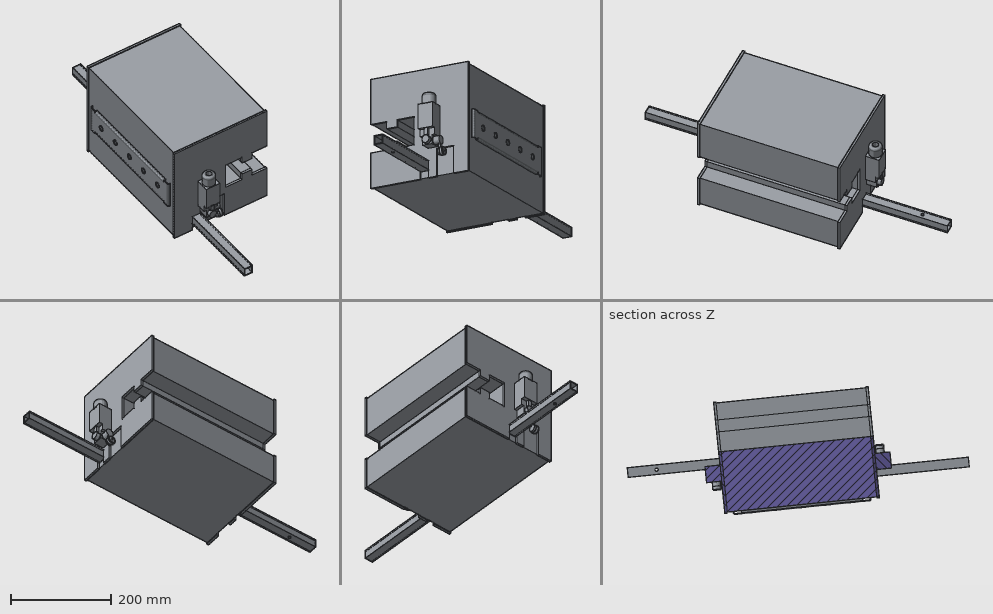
import cadquery as cq
import math

OVERALL_LENGTH = 682.0
TILT = 5.8
AXIS_SHIFT_Y = -34.0

HOUSING_LENGTH = 300.0
HOUSING_CENTER_Y = 35.0
PLATE_THICKNESS = 5.0
PLATE_DEPTH = 223.0
PLATE_HEIGHT = 230.0
PLATE_OVERHANG = 2.0

SLOT_CENTER_Z = -10.0
SLOT_WIDE = 60.0
SLOT_NARROW = 30.0
SLOT_MOUTH_DEPTH = 36.0
SLOT_LIP = 24.0
SLOT_INNER_DEPTH = 39.5

BAR_SIDE = 20.0
BAR_WALL = 2.0
BAR_OFFSET_Y = 24.0
BAR_TOP_Z = -78.5
BAR_HOLE_DIAMETER = 6.0
BAR_HOLE_FROM_END = 58.0

NOTCH_WIDTH = 39.0
NOTCH_TOP_Z = -56.5

RAIL_LENGTH = 276.0
RAIL_HEIGHT = 60.0
RAIL_CENTER_Z = SLOT_CENTER_Z
RAIL_DEPTH = 6.0
RAIL_SHEET = 2.0
RAIL_BEND = 4.0
RAIL_RELIEF = 16.5
RAIL_HOLE_COUNT = 5
RAIL_HOLE_PITCH = 50.0
RAIL_HOLE_DIAMETER = 12.0

SWITCH_OFFSET_Y = 4.0
SWITCH_WIDTH = 33.0
SWITCH_THICKNESS = 30.0
SWITCH_TOP_Z = 32.0
SWITCH_HEIGHT = 66.0
SWITCH_DROP = 20.5
RECESS_HEIGHT = 14.0
RECESS_DEPTH = 8.0
RIB_WIDTH = 8.0
RIB_SETBACK = 2.0
GLAND_DIAMETER = 27.0
GLAND_HEIGHT = 24.0
GLAND_ROUND = 5.5
GLAND_BORE = 12.0
HEAD_WIDTH = 21.0
HEAD_HEIGHT = 19.0
HEAD_CAP_DIAMETER = 16.5
SHAFT_DIAMETER = 17.0
SHAFT_LENGTH = 14.0
SHAFT_FROM_PLATE = 10.0
LEVER_WIDTH = 6.0
LEVER_THICKNESS = 4.0
LEVER_LENGTH = 24.5
ROLLER_DIAMETER = 18.0
ROLLER_WIDTH = 6.0
ROLLER_HUB_DIAMETER = 15.0
ROLLER_HUB_LENGTH = 2.0
ROLLER_BORE = 3.0

HOUSING_DEPTH = PLATE_DEPTH - 2 * PLATE_OVERHANG
HOUSING_HEIGHT = PLATE_HEIGHT - 2 * PLATE_OVERHANG
HOUSING_FRONT_Y = HOUSING_CENTER_Y - HOUSING_DEPTH / 2
PLATE_BACK_Y = HOUSING_CENTER_Y + PLATE_DEPTH / 2
PLATE_BOTTOM_Z = -PLATE_HEIGHT / 2
HOUSING_END_X = HOUSING_LENGTH / 2
PLATE_FACE_X = HOUSING_END_X + PLATE_THICKNESS
TILT_RADIANS = math.radians(TILT)
BAR_CORNER_Y = BAR_OFFSET_Y + BAR_SIDE / 2
BAR_END_X = (OVERALL_LENGTH / 2 - BAR_CORNER_Y * math.sin(TILT_RADIANS)) / math.cos(TILT_RADIANS)


def block(x_range, y_range, z_range):
    """Box between the given pairs of limits."""
    size = [high - low for low, high in (x_range, y_range, z_range)]
    corner = cq.Vector(x_range[0], y_range[0], z_range[0])
    return cq.Workplane(cq.Solid.makeBox(*size, corner))


def around(center, width):
    """Pair of limits of the given width about a center."""
    return (center - width / 2, center + width / 2)


def rod(diameter, length, start, direction):
    """Cylinder from a start point along a direction."""
    return cq.Workplane(cq.Solid.makeCylinder(diameter / 2, length, cq.Vector(*start), cq.Vector(*direction)))


def half_turn(shape):
    """Copy on the opposite end of the housing."""
    return shape.rotate((0, 0, 0), (0, 0, 1), 180)


def t_slot():
    """Solid that cuts the T-slot through housing and plates."""
    x_range = (-PLATE_FACE_X, PLATE_FACE_X)
    lip_back = PLATE_BACK_Y - SLOT_MOUTH_DEPTH
    lip_front = lip_back - SLOT_LIP
    wide_z = around(SLOT_CENTER_Z, SLOT_WIDE)
    mouth = block(x_range, (lip_back, PLATE_BACK_Y), wide_z)
    neck = block(x_range, (lip_front, lip_back), around(SLOT_CENTER_Z, SLOT_NARROW))
    chamber = block(x_range, (lip_front - SLOT_INNER_DEPTH, lip_front), wide_z)
    return mouth.union(neck).union(chamber)


def make_housing():
    body = cq.Workplane("XY").box(HOUSING_LENGTH, HOUSING_DEPTH, HOUSING_HEIGHT)
    return body.translate((0, HOUSING_CENTER_Y, 0)).cut(t_slot())


def make_end_plate(side):
    """End plate at the -X (side -1) or +X (side 1) end, notched below for its bar."""
    x_range = sorted((side * HOUSING_END_X, side * PLATE_FACE_X))
    bar_y = -side * BAR_OFFSET_Y
    plate = block(x_range, around(HOUSING_CENTER_Y, PLATE_DEPTH), around(0, PLATE_HEIGHT))
    bar_notch = block(x_range, around(bar_y, BAR_SIDE), (PLATE_BOTTOM_Z, BAR_TOP_Z))
    wide_notch = block(x_range, around(-bar_y, NOTCH_WIDTH), (PLATE_BOTTOM_Z, NOTCH_TOP_Z))
    return plate.cut(t_slot()).cut(bar_notch).cut(wide_notch)


def make_bar():
    """Square tube reaching from the -X face of the housing out through the plate."""
    x_range = (-BAR_END_X, -HOUSING_END_X)
    center_z = BAR_TOP_Z - BAR_SIDE / 2
    bore = BAR_SIDE - 2 * BAR_WALL
    tube = block(x_range, around(BAR_OFFSET_Y, BAR_SIDE), around(center_z, BAR_SIDE))
    return tube.cut(block(x_range, around(BAR_OFFSET_Y, bore), around(center_z, bore)))


def drill_bar(bar):
    """Vertical hole through the -X bar near its outer end."""
    start = (BAR_HOLE_FROM_END - BAR_END_X, BAR_OFFSET_Y, BAR_TOP_Z)
    return bar.cut(rod(BAR_HOLE_DIAMETER, BAR_SIDE, start, (0, 0, -1)))


def make_rail():
    """Folded sheet tray, open towards the housing, with flange-free corners and a row of holes."""
    front_y = HOUSING_FRONT_Y - RAIL_DEPTH
    y_range = (front_y, HOUSING_FRONT_Y)
    z_range = around(RAIL_CENTER_Z, RAIL_HEIGHT)
    flange_length = RAIL_LENGTH - 2 * RAIL_RELIEF

    inner_length = RAIL_LENGTH - 2 * RAIL_SHEET
    inner_y = (front_y + RAIL_SHEET, HOUSING_FRONT_Y)
    inner_bend = RAIL_BEND - RAIL_SHEET
    outer = block(around(0, RAIL_LENGTH), y_range, z_range).edges("<Y and |Z").fillet(RAIL_BEND)
    inner = block(around(0, inner_length), inner_y, z_range).edges("<Y and |Z").fillet(inner_bend)
    legged_face = outer.cut(inner)

    flange_x = around(0, flange_length)
    inner_z = around(RAIL_CENTER_Z, RAIL_HEIGHT - 2 * RAIL_SHEET)
    flange_outer = block(flange_x, y_range, z_range).edges("<Y and |X").fillet(RAIL_BEND)
    flange_inner = block(flange_x, inner_y, inner_z).edges("<Y and |X").fillet(inner_bend)
    flanged_face = flange_outer.cut(flange_inner)

    rail = legged_face.cut(block(flange_x, y_range, z_range)).union(flanged_face)
    for index in range(RAIL_HOLE_COUNT):
        hole_x = (index - (RAIL_HOLE_COUNT - 1) / 2) * RAIL_HOLE_PITCH
        rail = rail.cut(rod(RAIL_HOLE_DIAMETER, RAIL_DEPTH, (hole_x, front_y, RAIL_CENTER_Z), (0, 1, 0)))
    return rail


def make_switch():
    """Limit switch on the outer face of the -X plate, gland up, roller lever down."""
    outer_x = -PLATE_FACE_X - SWITCH_THICKNESS
    recess_x = outer_x + RECESS_DEPTH
    bottom_z = SWITCH_TOP_Z - SWITCH_HEIGHT
    y_range = around(SWITCH_OFFSET_Y, SWITCH_WIDTH)

    recess_z = (bottom_z, bottom_z + RECESS_HEIGHT)
    case = block((outer_x, -PLATE_FACE_X), y_range, (bottom_z, SWITCH_TOP_Z))
    case = case.cut(block((outer_x, recess_x), y_range, recess_z))
    rib = block((outer_x + RIB_SETBACK, recess_x), around(SWITCH_OFFSET_Y, RIB_WIDTH), recess_z)

    gland_base = (outer_x + SWITCH_THICKNESS / 2, SWITCH_OFFSET_Y, SWITCH_TOP_Z)
    gland = rod(GLAND_DIAMETER, GLAND_HEIGHT, gland_base, (0, 0, 1)).edges(">Z").fillet(GLAND_ROUND)
    gland = gland.cut(rod(GLAND_BORE, GLAND_HEIGHT, gland_base, (0, 0, 1)))

    head_y = around(SWITCH_OFFSET_Y, HEAD_WIDTH)
    axis_z = bottom_z - HEAD_HEIGHT / 2
    head = block((recess_x, -PLATE_FACE_X), head_y, (bottom_z - HEAD_HEIGHT, bottom_z))
    cap = rod(HEAD_CAP_DIAMETER, RECESS_DEPTH, (outer_x, SWITCH_OFFSET_Y, axis_z), (1, 0, 0))

    shaft_x = -PLATE_FACE_X - SHAFT_FROM_PLATE
    shaft_end_y = head_y[0] - SHAFT_LENGTH
    roller_z = axis_z - LEVER_LENGTH
    toward_front = (0, -1, 0)
    shaft = rod(SHAFT_DIAMETER, SHAFT_LENGTH, (shaft_x, head_y[0], axis_z), toward_front)
    lever_y = (shaft_end_y, shaft_end_y + LEVER_THICKNESS)
    lever = block(around(shaft_x, LEVER_WIDTH), lever_y, (roller_z, axis_z))
    lever_eye = rod(ROLLER_HUB_DIAMETER, LEVER_THICKNESS, (shaft_x, lever_y[1], roller_z), toward_front)
    roller = rod(ROLLER_DIAMETER, ROLLER_WIDTH, (shaft_x, shaft_end_y, roller_z), toward_front)
    hub_start = (shaft_x, shaft_end_y - ROLLER_WIDTH, roller_z)
    hub = rod(ROLLER_HUB_DIAMETER, ROLLER_HUB_LENGTH, hub_start, toward_front)
    bore = rod(ROLLER_BORE, ROLLER_WIDTH + ROLLER_HUB_LENGTH, (shaft_x, shaft_end_y, roller_z), toward_front)

    switch = case
    for piece in (rib, gland, head, cap, shaft, lever, lever_eye, roller, hub):
        switch = switch.union(piece)
    return switch.cut(bore)


def place(shape):
    """Turn a body from the local frame into its final position."""
    return shape.rotate((0, 0, 0), (0, 0, 1), TILT).translate((0, AXIS_SHIFT_Y, 0)).val()


housing = make_housing()
end_plates = [make_end_plate(side) for side in (-1, 1)]
rail = make_rail()
bars = [drill_bar(make_bar()), half_turn(make_bar())]
switches = [make_switch(), half_turn(make_switch()).translate((0, 0, -SWITCH_DROP))]

bodies = [housing, *end_plates, rail, *bars, *switches]
result = cq.Compound.makeCompound([place(body) for body in bodies])